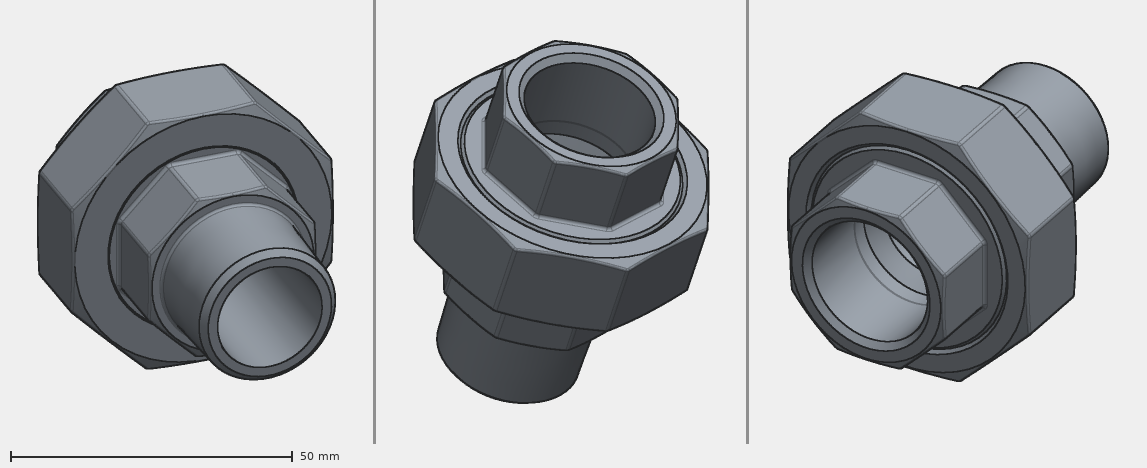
import cadquery as cq
import math


LENGTH = 62.5
NUT_START = 13.9
NUT_END = 30.95
FEMALE_COLLAR_START = 14.0
BORE_DEPTH = 15.5
JOINT = 22.5
FLANGE_END = 26.25
NECK_START = 45.0

END_FLATS = 32.0
END_FACE_DIAMETER = 31.0
NUT_FLATS = 50.0
NUT_FACE_DIAMETER = 49.2
CORNER_RADIUS = 1.0
EDGE_RADIUS = 0.5
ROOT_RADIUS = 0.6
NECK_RADIUS = 0.5
CHAMFER_ANGLE = 20.0

BORE_DIAMETER = 24.0
BORE_MOUTH_DIAMETER = 26.5
THROUGH_DIAMETER = 20.0
RELIEF_DIAMETER = 24.1
RELIEF_FLARE = 0.3
CONE_HALF_ANGLE = 30.0
JOINT_DIAMETER = 40.6
NUT_MOUTH_DIAMETER = 42.0
FEMALE_COLLAR_FACE_DIAMETER = 39.5
MALE_COLLAR_DIAMETER = 36.0
NUT_HOLE_DIAMETER = 36.5
SPIGOT_ROOT_DIAMETER = 27.1
SPIGOT_TAPER = 1 / 16
SPIGOT_CHAMFER = 1.25

SELECT_MARGIN = 0.005


def turned(*outline):
    """Solid of revolution about X from a closed outline of (x, diameter) points."""
    points = [(x, diameter / 2) for x, diameter in outline]
    return cq.Workplane("XZ").polyline(points).close().revolve(360, (0, 0, 0), (1, 0, 0))


def zone(start, end, reach):
    """Selector of the edges centred between two X positions and within reach of the axis."""
    return cq.selectors.BoxSelector((start, -reach, -reach), (end, reach, reach))


def octagon(start, end, flats, face_diameter, chamfer_start, chamfer_end):
    """Octagonal prism along X with rounded corners and chamfered, softened ends."""
    half_turn = math.pi / 8
    corner_diameter = flats / math.cos(half_turn)
    prism = (
        cq.Workplane("YZ", origin=(start, 0, 0))
        .transformed(rotate=(0, 0, math.degrees(half_turn)))
        .polygon(8, corner_diameter)
        .extrude(end - start)
        .edges("|X")
        .fillet(CORNER_RADIUS)
    )
    rise = (corner_diameter - face_diameter) / 2 * math.tan(math.radians(CHAMFER_ANGLE))
    start_outline = [(start, corner_diameter)]
    end_outline = [(end, corner_diameter)]
    if chamfer_start:
        start_outline = [(start, face_diameter), (start + rise, corner_diameter)]
    if chamfer_end:
        end_outline = [(end - rise, corner_diameter), (end, face_diameter)]
    body = prism.intersect(turned((start, 0), *start_outline, *end_outline, (end, 0)))

    face_margin = 0.03
    if chamfer_start:
        start_zone = zone(start + face_margin, start + rise, corner_diameter)
        body = body.edges(start_zone).fillet(EDGE_RADIUS)
    if chamfer_end:
        end_zone = zone(end - rise, end - face_margin, corner_diameter)
        body = body.edges(end_zone).fillet(EDGE_RADIUS)
    return body


def fillet_root(body, x):
    """Fillet where an octagonal end meets its collar at position x."""
    root = zone(x - SELECT_MARGIN, x + SELECT_MARGIN, END_FLATS)
    return body.edges(root).edges("%LINE").fillet(ROOT_RADIUS)


def make_female_end():
    """Octagonal end with a collar inside the nut and a stepped, coned bore."""
    body = octagon(0, FEMALE_COLLAR_START, END_FLATS, END_FACE_DIAMETER, True, False)
    collar_chamfer = (JOINT_DIAMETER - FEMALE_COLLAR_FACE_DIAMETER) / 2
    collar = turned(
        (FEMALE_COLLAR_START, 0),
        (FEMALE_COLLAR_START, FEMALE_COLLAR_FACE_DIAMETER),
        (FEMALE_COLLAR_START + collar_chamfer, JOINT_DIAMETER),
        (JOINT, JOINT_DIAMETER),
        (JOINT, 0),
    )
    body = fillet_root(body.union(collar), FEMALE_COLLAR_START)

    mouth = (BORE_MOUTH_DIAMETER - BORE_DIAMETER) / 2
    cone_depth = (RELIEF_DIAMETER - THROUGH_DIAMETER) / 2
    cone_length = cone_depth / math.tan(math.radians(CONE_HALF_ANGLE))
    bore = turned(
        (0, 0),
        (0, BORE_MOUTH_DIAMETER),
        (mouth, BORE_DIAMETER),
        (BORE_DEPTH, BORE_DIAMETER),
        (BORE_DEPTH + RELIEF_FLARE, RELIEF_DIAMETER),
        (JOINT - cone_length, RELIEF_DIAMETER),
        (JOINT, THROUGH_DIAMETER),
        (JOINT, 0),
    )
    return body.cut(bore)


def make_male_end():
    """Octagonal end with a flange held by the nut and a tapered spigot."""
    body = octagon(NUT_END, NECK_START, END_FLATS, END_FACE_DIAMETER, False, True)
    shank = turned(
        (JOINT, 0),
        (JOINT, JOINT_DIAMETER),
        (FLANGE_END, JOINT_DIAMETER),
        (FLANGE_END, MALE_COLLAR_DIAMETER),
        (NUT_END, MALE_COLLAR_DIAMETER),
        (NUT_END, 0),
    )
    body = fillet_root(body.union(shank), NUT_END)

    chamfer_start = LENGTH - SPIGOT_CHAMFER
    spigot_end_diameter = SPIGOT_ROOT_DIAMETER - SPIGOT_TAPER * (chamfer_start - NECK_START)
    spigot = turned(
        (NECK_START, 0),
        (NECK_START, SPIGOT_ROOT_DIAMETER),
        (chamfer_start, spigot_end_diameter),
        (LENGTH, spigot_end_diameter - 2 * SPIGOT_CHAMFER),
        (LENGTH, 0),
    )
    body = body.union(spigot)
    neck = zone(NECK_START - SELECT_MARGIN, NECK_START + SELECT_MARGIN, 0.6)
    body = body.edges(neck).edges(cq.selectors.RadiusNthSelector(0)).fillet(NECK_RADIUS)

    bore = turned(
        (JOINT, 0),
        (JOINT, THROUGH_DIAMETER),
        (LENGTH, THROUGH_DIAMETER),
        (LENGTH, 0),
    )
    return body.cut(bore)


def make_nut():
    """Octagonal nut around both collars, with a shoulder behind the male flange."""
    body = octagon(NUT_START, NUT_END, NUT_FLATS, NUT_FACE_DIAMETER, True, True)
    mouth = (NUT_MOUTH_DIAMETER - JOINT_DIAMETER) / 2
    bore = turned(
        (NUT_START, 0),
        (NUT_START, NUT_MOUTH_DIAMETER),
        (NUT_START + mouth, JOINT_DIAMETER),
        (FLANGE_END, JOINT_DIAMETER),
        (FLANGE_END, NUT_HOLE_DIAMETER),
        (NUT_END, NUT_HOLE_DIAMETER),
        (NUT_END, 0),
    )
    return body.cut(bore)


female_end = make_female_end()
male_end = make_male_end()
nut = make_nut()
result = cq.Compound.makeCompound([female_end.val(), male_end.val(), nut.val()])